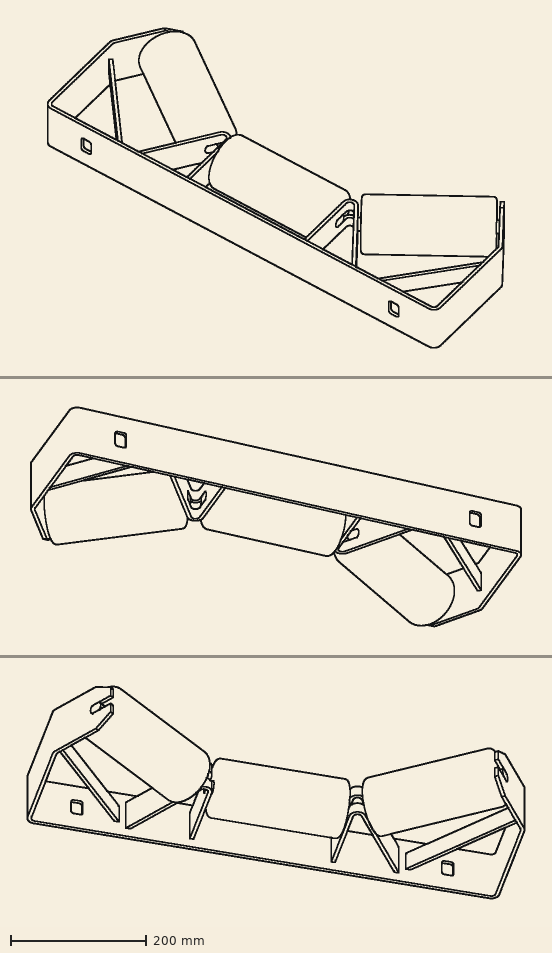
import cadquery as cq
import math


overall_length = 720.0
strap_width = 81.0
strap_thickness = 6.0
bend_radius = 12.0
trough_angle = 35.0

roller_length = 200.0
roller_diameter = 89.0
roller_edge_radius = 6.0
end_gap = 5.0
middle_axis_y = 99.0
side_roller_x = 222.0
side_roller_y = 170.0
shaft_diameter = 20.0
shaft_flats = 15.0

arm_length = 111.0
tip_chamfer_length = 29.0
tip_chamfer_width = 16.5
bolt_hole_x = 283.0
bolt_hole_length = 18.0
bolt_hole_width = 26.0
bolt_hole_radius = 4.0

bracket_width = 50.0

brace_width = 30.0
brace_thickness = 6.0
brace_foot_x = 226.0
brace_top_y = 153.0
wall_inner_x = overall_length / 2 - strap_thickness

slope_cos = math.cos(math.radians(trough_angle))
slope_sin = math.sin(math.radians(trough_angle))
support_offset = roller_length / 2 + end_gap
shaft_half_length = support_offset + strap_thickness
mid_support_offset = support_offset + strap_thickness / 2
mid_bend_radius = bend_radius - strap_thickness / 2

roller_places = [
    cq.Location(cq.Vector(-side_roller_x, side_roller_y, 0), cq.Vector(0, 0, 1), -trough_angle),
    cq.Location(cq.Vector(0, middle_axis_y, 0)),
    cq.Location(cq.Vector(side_roller_x, side_roller_y, 0), cq.Vector(0, 0, 1), trough_angle),
]


def bent_strap(points, width):
    """Strap swept along a centreline whose inner corners are rounded."""
    path = cq.Wire.makePolygon([cq.Vector(x, y, 0) for x, y in points])
    path = path.fillet(mid_bend_radius, path.Vertices()[1:-1])
    start = cq.Vector(*points[0], 0)
    direction = cq.Vector(*points[1], 0) - start
    section = cq.Workplane(cq.Plane(start, cq.Vector(0, 0, 1), direction))
    return section.rect(width, strap_thickness).sweep(cq.Workplane(path))


def shaft_section(length):
    """Round bar along X with two flats facing +Z and -Z."""
    bar = cq.Workplane("YZ").circle(shaft_diameter / 2).extrude(length / 2, both=True)
    return bar.intersect(cq.Workplane().box(length, shaft_diameter, shaft_flats))


def shaft_slots():
    """Open slots in the planes of both supports of one roller."""
    cut_length = 2 * shaft_half_length + end_gap
    cut_height = roller_diameter
    seat = shaft_section(cut_length)
    opening = cq.Workplane().box(cut_length, cut_height, shaft_flats)
    return seat.union(opening.translate((0, cut_height / 2, 0)))


def make_roller():
    """Roller with rounded rims on a shaft whose ends fit the slots."""
    end_face = cq.Workplane("YZ", origin=(-roller_length / 2, 0, 0))
    shell = end_face.circle(roller_diameter / 2).extrude(roller_length)
    shell = shell.faces("<X or >X").edges().fillet(roller_edge_radius)
    journal = cq.Workplane("YZ").circle(shaft_diameter / 2).extrude(support_offset, both=True)
    return shell.union(journal).union(shaft_section(2 * shaft_half_length))


def make_frame():
    """Base strap, side walls and sloping arms in one bent strip."""
    wall_x = (overall_length - strap_thickness) / 2
    base_y = strap_thickness / 2
    arm_x = side_roller_x + mid_support_offset * slope_cos
    arm_y = side_roller_y + mid_support_offset * slope_sin
    bend_y = arm_y - (wall_x - arm_x) * slope_cos / slope_sin
    tip_x = wall_x - arm_length * slope_sin
    tip_y = bend_y + arm_length * slope_cos
    half = [(tip_x, tip_y), (wall_x, bend_y), (wall_x, base_y)]
    frame = bent_strap([(-x, y) for x, y in half] + half[::-1], strap_width)

    for side in (-1, 1):
        along = cq.Vector(-side * slope_sin, slope_cos, 0)
        outward = cq.Vector(side * slope_cos, slope_sin, 0)
        tip = cq.Workplane(cq.Plane((side * tip_x, tip_y, 0), along, outward))
        for edge in (-1, 1):
            edge_offset = edge * strap_width / 2
            corner = (
                tip.moveTo(0, edge_offset)
                .lineTo(-tip_chamfer_length, edge_offset)
                .lineTo(0, edge_offset - edge * tip_chamfer_width)
                .close()
                .extrude(strap_thickness, both=True)
            )
            frame = frame.cut(corner)

    bolt_holes = (
        cq.Workplane("XZ")
        .pushPoints([(-bolt_hole_x, 0), (bolt_hole_x, 0)])
        .rect(bolt_hole_length, bolt_hole_width)
        .extrude(strap_thickness, both=True)
        .edges("|Y")
        .fillet(bolt_hole_radius)
    )
    frame = frame.cut(bolt_holes)
    for place in (roller_places[0], roller_places[2]):
        frame = frame.cut(shaft_slots().val().moved(place))
    return frame


def make_left_bracket():
    """Inverted V carrying the inner ends of the left and middle rollers."""
    post_x = -mid_support_offset
    leg_x = -side_roller_x + mid_support_offset * slope_cos
    leg_y = side_roller_y - mid_support_offset * slope_sin
    apex_y = leg_y + (post_x - leg_x) * slope_cos / slope_sin
    run = apex_y * slope_sin / slope_cos
    bracket = bent_strap([(post_x, 0), (post_x, apex_y), (post_x - run, 0)], bracket_width)
    trim = cq.Workplane().box(overall_length, 2 * strap_thickness, 2 * strap_width)
    bracket = bracket.cut(trim)
    for place in roller_places[:2]:
        bracket = bracket.cut(shaft_slots().val().moved(place))
    bend_slot = cq.Workplane().box(post_x - leg_x, apex_y - leg_y, shaft_flats)
    bend_slot = bend_slot.translate(((post_x + leg_x) / 2, (apex_y + leg_y) / 2, 0))
    return bracket.cut(bend_slot)


def make_left_brace():
    """Flat diagonal plate from the side wall down to the base strap."""
    foot = cq.Vector(-brace_foot_x, strap_thickness, 0)
    top = cq.Vector(-wall_inner_x, brace_top_y, 0)
    slope = (top - foot).normalized()
    normal = cq.Vector(slope.y, -slope.x, 0)
    upper_corner = top + normal * brace_thickness
    foot_width = brace_thickness / slope.y
    return (
        cq.Workplane(origin=(0, 0, -brace_width / 2))
        .polyline([
            (foot.x, foot.y),
            (foot.x + foot_width, foot.y),
            (upper_corner.x, upper_corner.y),
            (top.x, top.y),
        ])
        .close()
        .extrude(brace_width)
    )


frame = make_frame()
left_bracket = make_left_bracket()
brackets = [left_bracket.val(), left_bracket.mirror("YZ").val()]
left_brace = make_left_brace()
braces = [left_brace.val(), left_brace.mirror("YZ").val()]
rollers = [make_roller().val().moved(place) for place in roller_places]

result = cq.Compound.makeCompound([frame.val(), *brackets, *braces, *rollers])